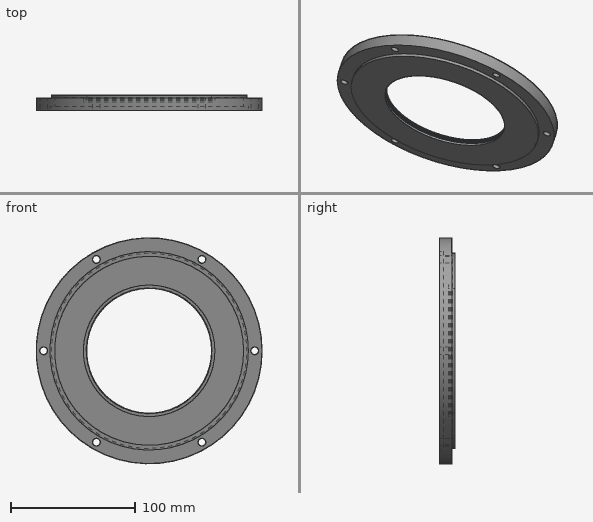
import cadquery as cq

flange_radius = 91.0
flange_thickness = 10.0
spigot_radius = 78.6
total_thickness = 12.5

rim_recess_radius = 79.9
rim_recess_depth = 3.5
pocket_radius = 76.0
pocket_depth = 10.5

lip_radius = 53.0
lip_height = 3.5
bore_radius = 50.2

groove_count = 2
groove_width = 1.0
groove_pitch = 1.5
groove_depth = 0.5
first_groove_start = 8.0

bolt_count = 6
bolt_circle_radius = 85.0
bolt_hole_diameter = 6.0


def disc(radius, start, length):
    """Disc on the Y axis, running from y = start toward +Y."""
    plane = cq.Workplane("XZ", origin=(0, start, 0))
    return plane.circle(radius).extrude(-length)


body = disc(flange_radius, 0, flange_thickness)
body = body.union(disc(spigot_radius, 0, total_thickness))

body = body.cut(disc(rim_recess_radius, 0, rim_recess_depth))
body = body.cut(disc(pocket_radius, 0, pocket_depth))
body = body.union(disc(lip_radius, pocket_depth - lip_height, lip_height))
body = body.cut(disc(bore_radius, 0, total_thickness))
for index in range(groove_count):
    groove_start = first_groove_start + index * groove_pitch
    body = body.cut(disc(bore_radius + groove_depth, groove_start, groove_width))

bolt_holes = (
    cq.Workplane("XZ")
    .polarArray(bolt_circle_radius, 0, 360, bolt_count)
    .circle(bolt_hole_diameter / 2)
    .extrude(-flange_thickness)
)
result = body.cut(bolt_holes)